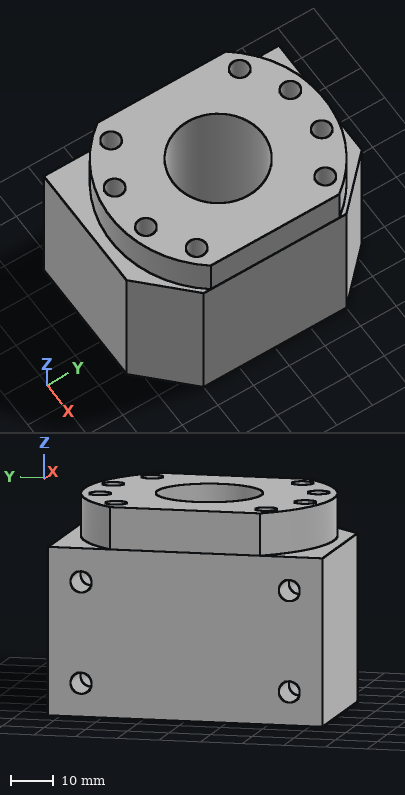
import math

import cadquery as cq

housing_length = 66.0
housing_width = 48.0
housing_height = 40.0
corner_chamfer = 13.0

flange_diameter = 60.0
flange_thickness = 10.0
barrel_diameter = 40.0
bore_diameter = 25.0

flange_hole_diameter = 5.0
flange_hole_circle = 51.0
flange_hole_pitch_angle = 30.0
flange_holes_per_group = 4

side_hole_diameter = 5.0
side_hole_depth = 9.9
side_hole_tip_angle = 118.0
side_hole_spacing_y = 50.0
side_hole_spacing_z = 24.0
side_hole_center_z = housing_height / 2


def drilled_hole():
    """Cutter for one blind hole along +X from the origin, with a conical tip."""
    radius = side_hole_diameter / 2
    tip_length = radius / math.tan(math.radians(side_hole_tip_angle / 2))
    half_section = (
        cq.Workplane("XY")
        .moveTo(0, 0)
        .lineTo(0, radius)
        .lineTo(side_hole_depth, radius)
        .lineTo(side_hole_depth + tip_length, 0)
        .close()
    )
    return half_section.revolve(360, (0, 0, 0), (1, 0, 0))


def make_housing():
    """Block with two chamfered corners on +X, a through bore and four side holes."""
    body = (
        cq.Workplane("XY")
        .box(housing_width, housing_length, housing_height, centered=(True, True, False))
        .edges("|Z and >X")
        .chamfer(corner_chamfer)
    )
    bore = cq.Workplane("XY").circle(barrel_diameter / 2).extrude(housing_height)
    body = body.cut(bore)
    for side_y in (-1, 1):
        for side_z in (-1, 1):
            hole_center = (
                -housing_width / 2,
                side_y * side_hole_spacing_y / 2,
                side_hole_center_z + side_z * side_hole_spacing_z / 2,
            )
            body = body.cut(drilled_hole().translate(hole_center))
    return body


def flange_hole_points():
    """Centres of the flange holes on their pitch circle."""
    radius = flange_hole_circle / 2
    points = []
    for group_angle in (90.0, 270.0):
        first_angle = group_angle - flange_hole_pitch_angle * (flange_holes_per_group - 1) / 2
        for index in range(flange_holes_per_group):
            angle = math.radians(first_angle + index * flange_hole_pitch_angle)
            points.append((radius * math.cos(angle), radius * math.sin(angle)))
    return points


def make_flanged_nut():
    """Barrel with a round flange on top, cut flat on both X sides to the housing width."""
    barrel = cq.Workplane("XY").circle(barrel_diameter / 2).extrude(housing_height)

    flange_base = cq.Workplane("XY").workplane(offset=housing_height)
    flange_disc = flange_base.circle(flange_diameter / 2).extrude(flange_thickness)
    flats = flange_base.rect(housing_width, flange_diameter).extrude(flange_thickness)
    flange = flange_disc.intersect(flats)

    hole_centers = flange_base.pushPoints(flange_hole_points())
    flange_holes = hole_centers.circle(flange_hole_diameter / 2).extrude(flange_thickness)
    flange = flange.cut(flange_holes)

    bore = cq.Workplane("XY").circle(bore_diameter / 2).extrude(housing_height + flange_thickness)
    return barrel.union(flange).cut(bore)


housing = make_housing()
flanged_nut = make_flanged_nut()

result = cq.Compound.makeCompound([housing.val(), flanged_nut.val()])